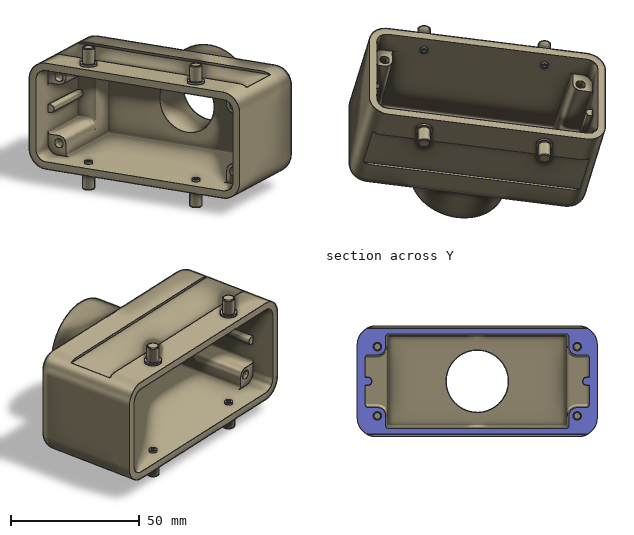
import cadquery as cq
import math


LENGTH = 93.5
HEIGHT = 43.1
BODY_DEPTH = 45.2
CORNER_RADIUS = 7.5
BACK_RADIUS = 5.0
WALL = 3.0

COLLAR_DIAMETER = 37.2
COLLAR_HEIGHT = 15.8
COLLAR_EDGE_RADIUS = 0.9
COLLAR_ROOT_RADIUS = 0.8
ENTRY_DIAMETER = 24.1

PANEL_START = 12.8
PANEL_WIDTH = 18.9
PANEL_DEPTH = 0.9

CAVITY_DEPTH = BODY_DEPTH - WALL
CAVITY_RADIUS = CORNER_RADIUS - WALL
CAVITY_DRAFT = 1.0
CAVITY_HALF_LENGTH = LENGTH / 2 - WALL
CAVITY_HALF_HEIGHT = HEIGHT / 2 - WALL
INNER_FILLET = 0.9

POST_START = 9.5
POST_DRAFT = 1.5
SCREW_X = 38.8
SCREW_Z = 13.5
POST_RADIUS = 3.1
LEDGE_START = 32.7
LEDGE_RADIUS = 0.9
SCREW_HOLE_DIAMETER = 3.6
SCREW_HOLE_END_DIAMETER = 2.6
SCREW_HOLE_DEPTH = 18.7

RIB_RADIUS = 1.6
RIB_REACH = 2.8

PIN_X = 23.8
PIN_Y = 6.3
PIN_SPAN = 57.6
PIN_DIAMETER = 4.9
PIN_CHAMFER = 0.4
FLANGE_DIAMETER = 6.6
FLANGE_THICKNESS = 0.8
RIVET_DIAMETER = 3.1
RIVET_HEIGHT = 0.9
RIVET_HOLE_DIAMETER = 1.7

SIDES = (-1, 1)
TOLERANCE = 0.01


def plane_at(y):
    """XZ plane at distance y from the mouth; extruding goes towards +Y."""
    return cq.Workplane(cq.Plane(origin=(0, y, 0), xDir=(-1, 0, 0), normal=(0, 1, 0)))


def make_shell():
    """Solid body with its collar, before hollowing."""
    body = (
        plane_at(0).rect(LENGTH, HEIGHT).extrude(BODY_DEPTH)
        .edges("|Y").fillet(CORNER_RADIUS)
        .faces(">Y").edges().fillet(BACK_RADIUS)
    )
    collar_start = BODY_DEPTH - WALL
    collar = (
        plane_at(collar_start).circle(COLLAR_DIAMETER / 2).extrude(COLLAR_HEIGHT + WALL)
        .faces(">Y").edges().fillet(COLLAR_EDGE_RADIUS)
    )
    shell = body.union(collar)
    reach = COLLAR_DIAMETER / 2 + COLLAR_ROOT_RADIUS
    root_zone = cq.selectors.BoxSelector(
        (-reach, BODY_DEPTH - BACK_RADIUS, -reach),
        (reach, BODY_DEPTH + COLLAR_ROOT_RADIUS, reach),
        boundingbox=True,
    )
    return shell.edges(root_zone).fillet(COLLAR_ROOT_RADIUS)


def make_panel_recess(side):
    """Slab centred on the outer face, so that its inner half cuts the panel."""
    middle = PANEL_START + PANEL_WIDTH / 2
    return cq.Workplane(origin=(0, middle, side * HEIGHT / 2)).box(LENGTH, PANEL_WIDTH, 2 * PANEL_DEPTH)


def post_face_x(y):
    """Distance of the drafted inner post faces from the centre plane."""
    return SCREW_X - POST_RADIUS - (y - POST_START) * math.tan(math.radians(POST_DRAFT))


def make_post(x_side, z_side):
    """Drafted corner post, overlapping the cavity walls."""
    overlap = 2 * WALL
    inner_x = SCREW_X - POST_RADIUS
    inner_z = SCREW_Z - POST_RADIUS
    length = CAVITY_HALF_LENGTH + overlap - inner_x
    height = CAVITY_HALF_HEIGHT + overlap - inner_z
    outline = cq.Sketch().rect(length, height).vertices().fillet(POST_RADIUS)
    return (
        plane_at(POST_START)
        .center(-x_side * (inner_x + length / 2), z_side * (inner_z + height / 2))
        .placeSketch(outline)
        .extrude(BODY_DEPTH - POST_START, taper=-POST_DRAFT)
    )


def make_tapered_hollow(depth):
    """Rounded rectangle narrowing from the mouth to the given depth."""
    mouth = (
        cq.Sketch().rect(2 * CAVITY_HALF_LENGTH, 2 * CAVITY_HALF_HEIGHT)
        .vertices().fillet(CAVITY_RADIUS)
    )
    return plane_at(0).placeSketch(mouth).extrude(depth, taper=CAVITY_DRAFT)


def wall_corner_edges(hollow):
    """Edges running along Y where the posts meet the cavity walls."""
    near_wall_x = CAVITY_HALF_LENGTH - RIB_RADIUS
    near_wall_z = CAVITY_HALF_HEIGHT - RIB_RADIUS
    edges = []
    for edge in hollow.edges().vals():
        box = edge.BoundingBox()
        middle = edge.Center()
        starts_at_post = box.ymin > POST_START / 2
        runs_along_y = box.ylen > POST_START
        at_wall = abs(middle.x) > near_wall_x or abs(middle.z) > near_wall_z
        if starts_at_post and runs_along_y and at_wall:
            edges.append(edge)
    return edges


def make_front_cavity():
    """Hollow from the mouth to the end ledges, shaped around the posts."""
    hollow = make_tapered_hollow(LEDGE_START)
    for x_side in SIDES:
        for z_side in SIDES:
            hollow = hollow.cut(make_post(x_side, z_side))
    hollow = hollow.newObject(wall_corner_edges(hollow)).fillet(INNER_FILLET)
    return hollow.faces(">Y").edges().fillet(INNER_FILLET)


def make_deep_pocket():
    """Hollow between the two end ledges, down to the cavity floor."""
    front = post_face_x(POST_START)
    back = post_face_x(BODY_DEPTH)
    middle_span = (
        cq.Workplane("XY").workplane(offset=-HEIGHT / 2)
        .moveTo(-front, POST_START).lineTo(front, POST_START)
        .lineTo(back, BODY_DEPTH).lineTo(-back, BODY_DEPTH)
        .close().extrude(HEIGHT)
    )
    hollow = make_tapered_hollow(CAVITY_DEPTH).intersect(middle_span)
    hollow = hollow.newObject(wall_corner_edges(hollow)).fillet(INNER_FILLET)
    return hollow.faces(">Y").edges().fillet(INNER_FILLET)


def make_cavity():
    """Whole inner space, with the ledge edges rounded over into the deep pocket."""
    cavity = make_front_cavity().union(make_deep_pocket())
    ledge_edges = [
        edge for edge in cavity.edges("|Z").vals()
        if abs(edge.Center().y - LEDGE_START) < TOLERANCE
        and abs(abs(edge.Center().x) - post_face_x(LEDGE_START)) < TOLERANCE
    ]
    return cavity.newObject(ledge_edges).fillet(LEDGE_RADIUS)


def make_guide_rib(side):
    """Bar on the end wall with a rounded nose, running down to the ledge."""
    centre = CAVITY_HALF_LENGTH - RIB_REACH + RIB_RADIUS
    length = LEDGE_START + INNER_FILLET - POST_START
    root = CAVITY_HALF_LENGTH + WALL / 2
    nose = plane_at(POST_START).center(-side * centre, 0).circle(RIB_RADIUS).extrude(length)
    bar = (
        plane_at(POST_START).center(-side * (centre + root) / 2, 0)
        .rect(root - centre, 2 * RIB_RADIUS).extrude(length)
    )
    return nose.union(bar)


def make_screw_hole(x, z):
    """Tapered blind hole in the front face of a post."""
    return (
        plane_at(POST_START).center(-x, z).circle(SCREW_HOLE_DIAMETER / 2)
        .workplane(offset=SCREW_HOLE_DEPTH).circle(SCREW_HOLE_END_DIAMETER / 2)
        .loft()
    )


def pin_cylinder(diameter, x, z_from, z_to):
    """Cylinder on a pin axis, between two heights given in either order."""
    height = abs(z_to - z_from)
    return cq.Workplane(origin=(x, PIN_Y, min(z_from, z_to))).circle(diameter / 2).extrude(height)


def make_pin(x, side):
    """Flanged pin with its hollow rivet end inside the cavity."""
    face = side * HEIGHT / 2
    root = face - side * WALL / 2
    tip = side * PIN_SPAN / 2
    tip_face = ">Z" if side > 0 else "<Z"
    shank = pin_cylinder(PIN_DIAMETER, x, root, tip)
    shank = shank.faces(tip_face).edges().chamfer(PIN_CHAMFER)
    flange = pin_cylinder(FLANGE_DIAMETER, x, root, face + side * FLANGE_THICKNESS)
    rivet_end = side * (CAVITY_HALF_HEIGHT - RIVET_HEIGHT)
    rivet = pin_cylinder(RIVET_DIAMETER, x, rivet_end, root)
    rivet_hole = pin_cylinder(RIVET_HOLE_DIAMETER, x, rivet_end, rivet_end + side * RIVET_HEIGHT)
    return shank.union(flange).union(rivet).cut(rivet_hole)


result = make_shell().cut(make_cavity())
entry = plane_at(0).circle(ENTRY_DIAMETER / 2).extrude(BODY_DEPTH + COLLAR_HEIGHT)
result = result.cut(entry)
for side in SIDES:
    result = result.cut(make_panel_recess(side))
    result = result.union(make_guide_rib(side))
    for end in SIDES:
        result = result.cut(make_screw_hole(end * SCREW_X, side * SCREW_Z))
        result = result.union(make_pin(end * PIN_X, side))